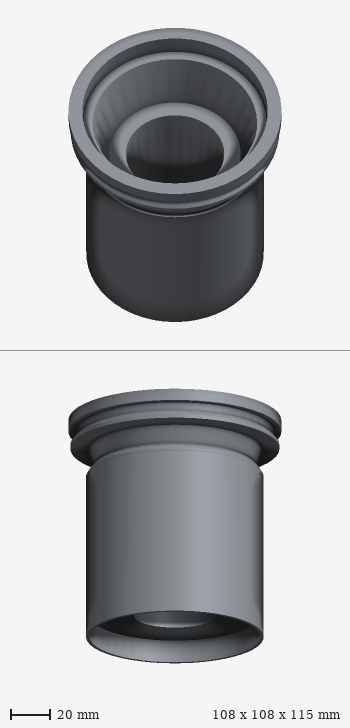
import cadquery as cq

total_height = 115.0
sleeve_height = 85.0

sleeve_outer_radius = 90.0 / 2
sleeve_inner_radius = 86.4 / 2

rim_radius = 108.0 / 2
groove_radius = 100.0 / 2
flange_radius = 106.0 / 2
neck_top_radius = 43.9
neck_bottom_radius = 41.2
collar_radius = 88.0 / 2

rim_bottom = total_height - 6.0
groove_bottom = rim_bottom - 4.0
flange_cone_bottom = groove_bottom - 3.1
flange_edge_bottom = flange_cone_bottom - 2.0
neck_top = flange_edge_bottom - 0.9
neck_bottom = 90.2
collar_top = 86.8

bore_top_radius = 47.0
bore_bottom_radius = 46.5
bore_depth = 10.0
cup_top_radius = 41.6
cup_floor_radius = 33.4
cup_floor = 80.3
outlet_top_radius = 25.0
outlet_bottom_radius = 20.9
outlet_bottom = 11.5


def make_sleeve():
    """Open tube with a flat top that carries the socket collar."""
    return (
        cq.Workplane("XY")
        .circle(sleeve_outer_radius)
        .circle(sleeve_inner_radius)
        .extrude(sleeve_height)
    )


def make_socket():
    """Flanged funnel turned about Z, with a spigot fitting inside the sleeve."""
    shelf_height = total_height - bore_depth
    outer_points = [
        (rim_radius, total_height),
        (rim_radius, rim_bottom),
        (groove_radius, rim_bottom),
        (groove_radius, groove_bottom),
        (flange_radius, flange_cone_bottom),
        (flange_radius, flange_edge_bottom),
        (neck_top_radius, neck_top),
        (neck_bottom_radius, neck_bottom),
        (collar_radius, collar_top),
        (collar_radius, sleeve_height),
        (sleeve_inner_radius, sleeve_height),
        (sleeve_inner_radius, outlet_bottom),
    ]
    inner_points = [
        (outlet_bottom_radius, outlet_bottom),
        (outlet_top_radius, cup_floor),
        (cup_floor_radius, cup_floor),
        (cup_top_radius, shelf_height),
        (bore_bottom_radius, shelf_height),
        (bore_top_radius, total_height),
    ]
    return (
        cq.Workplane("XZ")
        .polyline(outer_points + inner_points)
        .close()
        .revolve(360, (0, 0), (0, 1))
    )


sleeve = make_sleeve()
socket = make_socket()
result = cq.Compound.makeCompound([sleeve.val(), socket.val()])